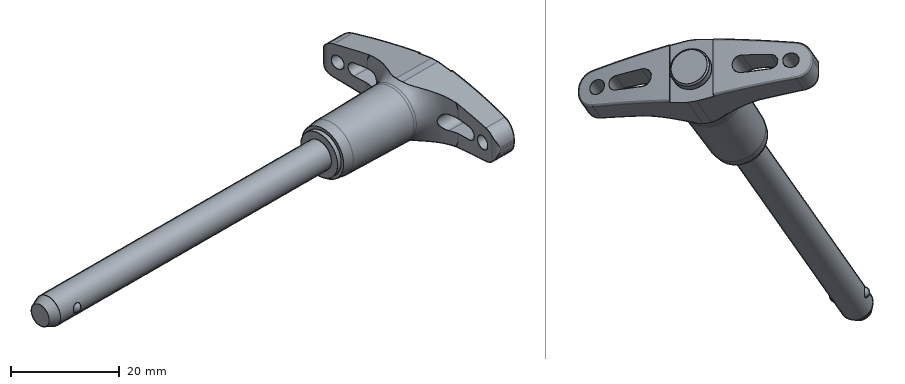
import cadquery as cq

total_length = 105.7

handle_length = 45.2
handle_depth = 12.7
center_flat_half_width = 0.8
side_taper = 0.14
end_corner_radius = 3.5
crest_y = -1.3
top_end_y = -3.8
underside_mid_y = -7.2
underside_end_y = -8.8
top_edge_radius = 0.3
bottom_end_radius = 1.1
button_groove_width = 8.5
button_groove_depth = 0.5

round_hole_x = 18.7
round_hole_radius = 1.5
slot_inner_x = 9.6
slot_inner_radius = 1.8
slot_outer_x = 14.8
slot_outer_radius = 1.5

flare_width = 6.2
flare_height = 5.2
grip_top_radius = 6.0
grip_bottom_radius = 5.7
grip_nose_radius = 5.4
flare_bottom_y = -12.8
grip_top_y = -13.4
grip_taper_end_y = -29.1
grip_bottom_y = -31.3
collar_radius = 4.8
collar_bottom_y = -32.2

button_radius = 3.8
button_chamfer = 0.3
shank_radius = 3.2
tip_chamfer_length = 2.1
tip_face_radius = 2.3
ball_radius = 1.1
ball_center_x = 2.7
ball_tip_distance = 6.4

half_length = handle_length / 2
half_depth = handle_depth / 2


def handle_plan():
    """Tapered outline in XZ with rounded ends, extruded along the pin axis."""
    end_half_depth = half_depth - side_taper * (half_length - center_flat_half_width)
    corners = [
        (-half_length, -end_half_depth),
        (-center_flat_half_width, -half_depth),
        (center_flat_half_width, -half_depth),
        (half_length, -end_half_depth),
        (half_length, end_half_depth),
        (center_flat_half_width, half_depth),
        (-center_flat_half_width, half_depth),
        (-half_length, end_half_depth),
    ]
    plan = cq.Workplane("XZ").polyline(corners).close().extrude(-grip_top_y)
    end_edges = plan.faces("<X or >X").edges("|Y")
    return end_edges.fillet(end_corner_radius)


def crossbar():
    """Arched bar, with its lower end edges rounded, before trimming to the plan."""
    return (
        cq.Workplane("XY")
        .moveTo(-half_length, top_end_y)
        .threePointArc((0, crest_y), (half_length, top_end_y))
        .lineTo(half_length, underside_end_y)
        .threePointArc((0, underside_mid_y), (-half_length, underside_end_y))
        .close()
        .extrude(half_depth, both=True)
        .edges("|Z and <Y")
        .fillet(bottom_end_radius)
    )


def hub_flare():
    """Concave elliptical blend, revolved, from the crossbar to the grip."""
    outer_radius = grip_top_radius + flare_width
    arc_top_y = flare_bottom_y + flare_height
    return (
        cq.Workplane("XY")
        .moveTo(0, top_end_y)
        .lineTo(outer_radius, arc_top_y)
        .ellipseArc(flare_width, flare_height, 90, 180, startAtCurrent=True)
        .lineTo(grip_top_radius, grip_top_y)
        .lineTo(0, grip_top_y)
        .close()
        .revolve(360, (0, 0), (0, 1))
    )


def handle_body():
    """Crossbar and flare trimmed to the plan, with rounded upper edges."""
    body = crossbar().union(hub_flare()).intersect(handle_plan())
    return body.faces(">Y").edges().fillet(top_edge_radius)


def finger_openings(side):
    """Round hole and tapered slot on one side (-1 or 1), cut along the pin axis."""
    sine = (slot_inner_radius - slot_outer_radius) / (slot_outer_x - slot_inner_x)
    cosine = (1 - sine ** 2) ** 0.5
    inner_x = side * (slot_inner_x + slot_inner_radius * sine)
    inner_z = slot_inner_radius * cosine
    outer_x = side * (slot_outer_x + slot_outer_radius * sine)
    outer_z = slot_outer_radius * cosine
    depth = -grip_top_y
    slot = (
        cq.Workplane("XZ")
        .moveTo(inner_x, inner_z)
        .lineTo(outer_x, outer_z)
        .threePointArc((side * (slot_outer_x + slot_outer_radius), 0), (outer_x, -outer_z))
        .lineTo(inner_x, -inner_z)
        .threePointArc((side * (slot_inner_x - slot_inner_radius), 0), (inner_x, inner_z))
        .close()
        .extrude(depth)
    )
    hole = cq.Workplane("XZ").center(side * round_hole_x, 0).circle(round_hole_radius).extrude(depth)
    return slot.union(hole)


def button_groove():
    """Shallow cross groove in the crest, around the button."""
    floor_y = crest_y - button_groove_depth
    return cq.Workplane("XY").box(
        button_groove_width, -floor_y, handle_depth, centered=(True, False, True)
    ).translate((0, floor_y, 0))


def turned_core():
    """Button, grip, collar and shank as one revolved profile."""
    profile = [
        (0, 0),
        (button_radius - button_chamfer, 0),
        (button_radius, -button_chamfer),
        (button_radius, grip_top_y),
        (grip_top_radius, grip_top_y),
        (grip_bottom_radius, grip_taper_end_y),
        (grip_nose_radius, grip_bottom_y),
        (collar_radius, grip_bottom_y),
        (collar_radius, collar_bottom_y),
        (shank_radius, collar_bottom_y),
        (shank_radius, tip_chamfer_length - total_length),
        (tip_face_radius, -total_length),
        (0, -total_length),
    ]
    return cq.Workplane("XY").polyline(profile).close().revolve(360, (0, 0), (0, 1))


handle = handle_body().cut(button_groove())
for side in (-1, 1):
    handle = handle.cut(finger_openings(side))

result = handle.union(turned_core())
for side in (-1, 1):
    ball_center = (side * ball_center_x, ball_tip_distance - total_length, 0)
    result = result.union(cq.Workplane("XY").sphere(ball_radius).translate(ball_center))